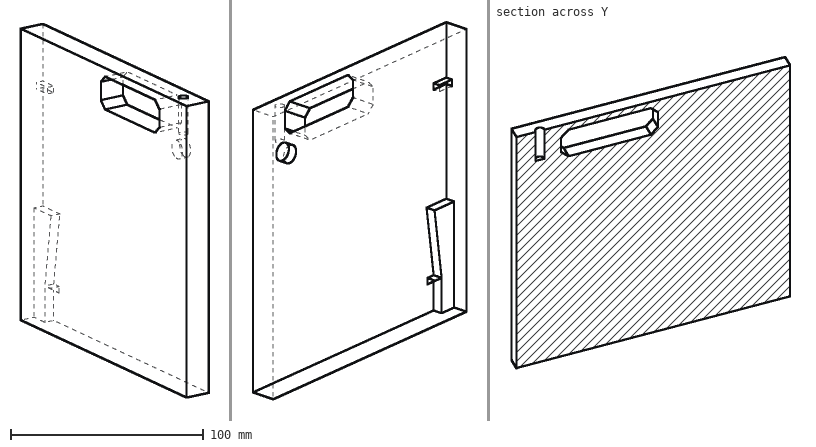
import cadquery as cq
import math

plate_width = 153.25
plate_thickness = 14.0
plate_height = 160.0

handle_width = 54.0
handle_height = 18.0
handle_left = 74.0
handle_top_margin = 4.7
handle_corner_chamfer = 4.0

stud_diameter = 10.0
stud_height = 5.0
stud_x = 124.0
stud_z = 125.4

pin_hole_diameter = 5.0
pin_hole_depth = 20.0
pin_hole_x = 140.0

groove_depth = 4.0
groove_height = 3.6
groove_bottom = 125.0
groove_length = 10.0

recess_depth = 5.5
recess_height = 60.0
recess_upright_height = 20.0
recess_bottom_width = 10.0
recess_wall_lean = 8.0

notch_height = 3.6
notch_length = 5.0


def back_pocket(points, depth):
    """Prism of an XZ outline, sunk into the back face by the given depth."""
    outline = cq.Workplane("XZ", origin=(0, plate_thickness, 0)).polyline(points).close()
    return outline.extrude(depth)


def make_plate():
    return cq.Workplane("XY").box(plate_width, plate_thickness, plate_height, centered=False)


def make_handle_slot():
    slot = cq.Workplane("XY").box(handle_width, plate_thickness, handle_height, centered=False)
    slot = slot.edges("|Y").chamfer(handle_corner_chamfer)
    handle_bottom = plate_height - handle_top_margin - handle_height
    return slot.translate((handle_left, 0, handle_bottom))


def make_stud():
    stud_base = cq.Workplane("XZ", origin=(stud_x, plate_thickness, stud_z))
    return stud_base.circle(stud_diameter / 2).extrude(-stud_height)


def make_pin_hole():
    hole_top = cq.Workplane("XY", origin=(pin_hole_x, plate_thickness / 2, plate_height))
    return hole_top.circle(pin_hole_diameter / 2).extrude(-pin_hole_depth)


def make_groove():
    groove = cq.Workplane("XY").box(groove_length, groove_depth, groove_height, centered=False)
    return groove.translate((0, plate_thickness - groove_depth, groove_bottom))


def make_recess():
    lean_rise = recess_height - recess_upright_height
    recess_top_width = recess_bottom_width + lean_rise * math.tan(math.radians(recess_wall_lean))
    outline = [
        (0, 0),
        (recess_bottom_width, 0),
        (recess_bottom_width, recess_upright_height),
        (recess_top_width, recess_height),
        (0, recess_height),
    ]
    return back_pocket(outline, recess_depth)


def make_notch():
    recess_floor = plate_thickness - recess_depth
    section = [
        (plate_thickness, recess_upright_height),
        (plate_thickness, recess_upright_height - notch_height),
        (recess_floor, recess_upright_height),
    ]
    wall_plane = cq.Workplane("YZ", origin=(recess_bottom_width, 0, 0))
    return wall_plane.polyline(section).close().extrude(notch_length)


result = (
    make_plate()
    .union(make_stud())
    .cut(make_handle_slot())
    .cut(make_pin_hole())
    .cut(make_groove())
    .cut(make_recess())
    .cut(make_notch())
)